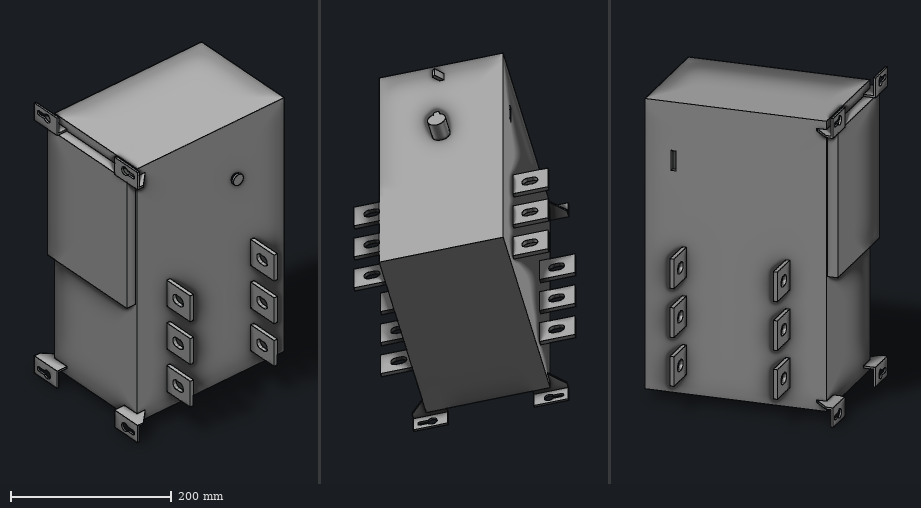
import cadquery as cq

TOTAL_HEIGHT = 411.0
TOTAL_WIDTH = 250.0
TOTAL_DEPTH = 281.0

FOOT_SHEET = 3.0
FOOT_WIDTH = 44.5
FOOT_SPAN = 199.5
FOOT_HEIGHT = 26.5
FOOT_RISE = 12.5
FOOT_STANDOFF = 16.0
FOOT_SIDE_DEPTH = 9.5

KEYHOLE_ROUND_DIAMETER = 12.0
KEYHOLE_SLOT_WIDTH = 6.0
KEYHOLE_ROUND_INSET = 24.5
KEYHOLE_SLOT_INSET = 9.0
KEYHOLE_DROP = 10.5

SHAFT_LENGTH = 24.2
SHAFT_RADIUS = 11.5
SHAFT_HEIGHT = 241.3
KEY_RADIUS = 4.0
KEY_CENTRE_OFFSET = 12.0

BODY_WIDTH = 159.5
BODY_HEIGHT = TOTAL_HEIGHT - 2 * FOOT_RISE
BODY_DEPTH = TOTAL_DEPTH - SHAFT_LENGTH - FOOT_STANDOFF
BODY_TOP = BODY_HEIGHT / 2
BODY_SIDE = BODY_WIDTH / 2

COVER_WIDTH = 153.5
COVER_THICKNESS = 14.0
COVER_TOP = BODY_TOP + FOOT_RISE - FOOT_HEIGHT
COVER_BOTTOM = BODY_TOP - 207.5

TERMINAL_THICKNESS = 5.5
TERMINAL_HEIGHT = 39.5
TERMINAL_PITCH = 65.0
TERMINAL_COUNT = 3
LOWEST_TERMINAL = 45.5
TERMINAL_BACK_INSETS = (52.0, 189.5)
TERMINAL_HOLE_LENGTH = 20.0
TERMINAL_HOLE_WIDTH = 13.5
TERMINAL_HOLE_INSET = 23.5

KNOB_DIAMETER = 16.0
KNOB_STEM_DIAMETER = 13.5
KNOB_STEM_LENGTH = 2.0
KNOB_REACH = 6.0
KNOB_BACK_INSET = 80.0
KNOB_DROP = 86.0

SIDE_SLOT_WIDTH = 6.0
SIDE_SLOT_HEIGHT = 26.5
SIDE_SLOT_DEPTH = 6.0
SIDE_SLOT_BACK_INSET = 38.0
SIDE_SLOT_DROP = 78.0

BLADE_THICKNESS = 4.0
BLADE_HEIGHT = 13.5
BLADE_LENGTH = 24.5
BLADE_ANGLE = 46
BLADE_OFFSET = -1.0
BLADE_DROP = 25.0

SINK = 4.0


def block(x_range, y_range, z_range):
    """Box between the given limits."""
    size = [high - low for low, high in (x_range, y_range, z_range)]
    corner = (x_range[0], y_range[0], z_range[0])
    return cq.Workplane("XY").box(*size, centered=False).translate(corner)


def make_housing():
    housing = block((-BODY_SIDE, BODY_SIDE), (0, BODY_DEPTH), (-BODY_TOP, BODY_TOP))
    cover = block(
        (-COVER_WIDTH / 2, COVER_WIDTH / 2),
        (-COVER_THICKNESS, SINK),
        (COVER_BOTTOM, COVER_TOP),
    )
    return housing.union(cover)


def make_upper_right_foot():
    outer = FOOT_SPAN / 2
    inner = outer - FOOT_WIDTH
    front = -FOOT_STANDOFF
    cut_start = front + FOOT_SIDE_DEPTH
    cut_end = cut_start + outer - BODY_SIDE
    top = BODY_TOP + FOOT_RISE
    bottom = top - FOOT_HEIGHT

    leg_outline = [
        (inner, front),
        (outer, front),
        (outer, cut_start),
        (BODY_SIDE, cut_end),
        (inner, cut_end),
    ]
    leg = cq.Workplane("XY").workplane(offset=bottom).polyline(leg_outline).close().extrude(FOOT_SHEET)
    plate = block((inner, outer), (front, front + FOOT_SHEET), (bottom, top))

    round_x = outer - KEYHOLE_ROUND_INSET
    slot_x = outer - KEYHOLE_SLOT_INSET
    keyhole_z = top - KEYHOLE_DROP
    plane = cq.Workplane("XZ", origin=(0, front + FOOT_SHEET, 0))
    round_hole = plane.center(round_x, keyhole_z).circle(KEYHOLE_ROUND_DIAMETER / 2).extrude(FOOT_SHEET)
    slot = (
        plane.center((round_x + slot_x) / 2, keyhole_z)
        .slot2D(slot_x - round_x + KEYHOLE_SLOT_WIDTH, KEYHOLE_SLOT_WIDTH)
        .extrude(FOOT_SHEET)
    )
    return plate.cut(round_hole).cut(slot).union(leg)


def make_terminal(y, z):
    bar = cq.Workplane("XY").box(TOTAL_WIDTH, TERMINAL_THICKNESS, TERMINAL_HEIGHT)
    hole_x = TOTAL_WIDTH / 2 - TERMINAL_HOLE_INSET
    holes = (
        cq.Workplane("XZ")
        .pushPoints([(-hole_x, 0), (hole_x, 0)])
        .slot2D(TERMINAL_HOLE_LENGTH, TERMINAL_HOLE_WIDTH)
        .extrude(TERMINAL_THICKNESS, both=True)
    )
    return bar.cut(holes).translate((0, y, z))


def make_shaft():
    plane = cq.Workplane("XZ", origin=(0, BODY_DEPTH - SINK, SHAFT_HEIGHT - BODY_TOP))
    reach = -(SHAFT_LENGTH + SINK)
    bar = plane.circle(SHAFT_RADIUS).extrude(reach)
    key = (
        plane.moveTo(-KEY_RADIUS, 0)
        .lineTo(-KEY_RADIUS, KEY_CENTRE_OFFSET)
        .threePointArc((0, KEY_CENTRE_OFFSET + KEY_RADIUS), (KEY_RADIUS, KEY_CENTRE_OFFSET))
        .lineTo(KEY_RADIUS, 0)
        .close()
        .extrude(reach)
    )
    return bar.union(key)


def make_knob():
    origin = (BODY_SIDE, BODY_DEPTH - KNOB_BACK_INSET, BODY_TOP - KNOB_DROP)
    side = cq.Workplane("YZ", origin=origin)
    stem = side.workplane(offset=-SINK).circle(KNOB_STEM_DIAMETER / 2).extrude(SINK + KNOB_REACH)
    head = (
        side.workplane(offset=KNOB_STEM_LENGTH)
        .circle(KNOB_DIAMETER / 2)
        .extrude(KNOB_REACH - KNOB_STEM_LENGTH)
    )
    return stem.union(head)


def make_blade():
    return (
        cq.Workplane("XY")
        .box(BLADE_LENGTH, BLADE_THICKNESS, BLADE_HEIGHT)
        .rotate((0, 0, 0), (0, 0, 1), BLADE_ANGLE)
        .translate((BLADE_OFFSET, BODY_DEPTH, BODY_TOP - BLADE_DROP))
    )


def make_side_slot():
    slot_centre = (-BODY_SIDE, BODY_DEPTH - SIDE_SLOT_BACK_INSET, BODY_TOP - SIDE_SLOT_DROP)
    slot = cq.Workplane("XY").box(2 * SIDE_SLOT_DEPTH, SIDE_SLOT_WIDTH, SIDE_SLOT_HEIGHT)
    return slot.translate(slot_centre)


result = make_housing()

upper_right_foot = make_upper_right_foot()
upper_left_foot = upper_right_foot.mirror("YZ")
for foot in (upper_right_foot, upper_left_foot):
    result = result.union(foot).union(foot.mirror("XY"))

for back_inset in TERMINAL_BACK_INSETS:
    for index in range(TERMINAL_COUNT):
        terminal_z = LOWEST_TERMINAL - BODY_TOP + index * TERMINAL_PITCH
        result = result.union(make_terminal(BODY_DEPTH - back_inset, terminal_z))

result = result.union(make_shaft()).union(make_knob()).union(make_blade())
result = result.cut(make_side_slot())